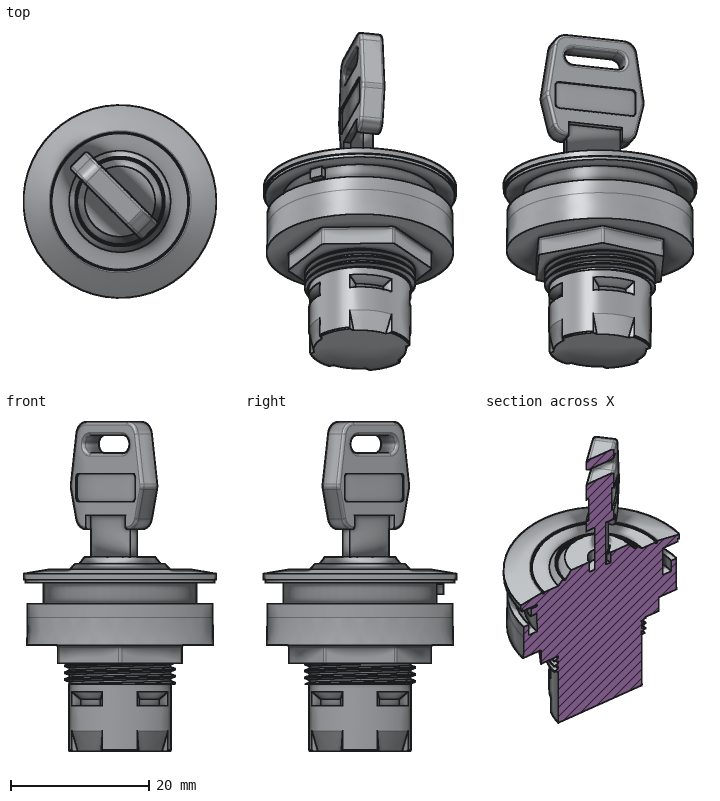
import cadquery as cq
import math


BODY_R = 14.75 / 2
BODY_CHAMFER_HEIGHT = 0.25
BODY_CHAMFER_WIDTH = 0.1
CROSS_HALF_WIDTH = 2.52
CROSS_ROOT_HALF_WIDTH = 2.8
WINDOW_BOTTOM_Z = 6.55
WINDOW_TOP_Z = 8.55
WINDOW_FLOOR_R = 12.65 / 2
NOTCH_TOP_Z = 2.95
NOTCH_BOTTOM_R = 6.65
CUT_CLEARANCE = 2.4

THREAD_R = 16.0 / 2
THREAD_CORE_R = 14.65 / 2
THREAD_PITCH = 1.0
THREAD_START_Z = 7.85
THREAD_BOTTOM_Z = 9.7
THREAD_ROOT_WIDTH = 0.75
THREAD_CREST_WIDTH = 0.15
THREAD_SINK = 0.15
THREAD_TURNS = 5

NUT_BOTTOM_Z = 12.7
NUT_ACROSS_FLATS = 18.0
NUT_CORNER_R = 0.5
NUT_FLARE_Z = 15.05
NUT_FLARE_ANGLE = 12.0

RING_BOTTOM_Z = 15.35
GASKET_BOTTOM_Z = 19.35
GASKET_TOP_Z = 21.35
RING_BOTTOM_R = 27.0 / 2
GASKET_R = 26.85 / 2
GASKET_INNER_R = 25.0 / 2

NECK_R = 22.2 / 2
TAB_BOTTOM_Z = 22.65
TAB_TOP_Z = 24.15
TAB_REACH = 12.1
TAB_WIDTH = 1.9

FLANGE_R = 27.9 / 2
FLANGE_LIP_R = 27.4 / 2
FLANGE_BOTTOM_Z = 24.35
FLANGE_LIP_Z = 24.8
FLANGE_EDGE_Z = 25.65
BEZEL_CONE_TOP_R = 20.55 / 2
BEZEL_INNER_R = 20.05 / 2
BEZEL_TOP_Z = 26.3
FACE_R = 19.65 / 2
FACE_Z = 26.2
FACE_GROOVE_DEPTH = 0.25
COLLAR_R = 14.65 / 2
COLLAR_TOP_R = 13.0 / 2
COLLAR_INNER_R = 12.65 / 2
COLLAR_TOP_Z = 27.1
DOME_R = 12.3 / 2
DOME_BASE_Z = 26.75
DOME_TOP_R = 10.2 / 2
DOME_TOP_Z = 28.1
KEYHOLE_R = 1.8
KEYHOLE_DEPTH = 1.9
KEY_SLOT_WIDTH = 1.9
KEY_SLOT_DEPTH = 0.55
KEY_SLOT_OVERRUN = 0.45

KEY_OFFSET = -1.2
BOW_THICKNESS = 3.5
BOW_BOTTOM_Z = 32.05
BOW_WIDEST_Z = 38.25
BOW_TOP_Z = 47.65
BOW_BOTTOM_HALF_WIDTH = 5.9
BOW_WIDEST_HALF_WIDTH = 7.45
BOW_TOP_HALF_WIDTH = 6.0
BOW_CORNER_R = 2.05
BOW_EDGE_R = 0.45
SLOT_LENGTH = 9.15
SLOT_HEIGHT = 2.52
SLOT_Z = 44.4
LABEL_WIDTH = 12.1
LABEL_HEIGHT = 4.05
LABEL_Z = 38.1
LABEL_CORNER_R = 0.55
LABEL_DEPTH = 0.3
BLADE_WIDTH = 8.1
BLADE_THICKNESS = 1.45
BLADE_TOP_Z = 34.1

HALF_DIAGONAL = math.sqrt(0.5)


def revolved(points):
    """Solid of revolution about Z from (radius, z) points."""
    return cq.Workplane("XZ").polyline(points).close().revolve(360, (0, 0, 0), (0, 1, 0))


def make_turned_body():
    """Lower body, clamping ring, neck, flange and lock face as one turned outline."""
    groove_z = FACE_Z - FACE_GROOVE_DEPTH
    return revolved([
        (0, 0),
        (BODY_R - BODY_CHAMFER_WIDTH, 0),
        (BODY_R, BODY_CHAMFER_HEIGHT),
        (BODY_R, THREAD_BOTTOM_Z),
        (THREAD_CORE_R, THREAD_BOTTOM_Z),
        (THREAD_CORE_R, RING_BOTTOM_Z),
        (RING_BOTTOM_R, RING_BOTTOM_Z),
        (GASKET_R, GASKET_BOTTOM_Z),
        (GASKET_R, GASKET_TOP_Z),
        (GASKET_INNER_R, GASKET_TOP_Z),
        (GASKET_INNER_R, GASKET_BOTTOM_Z),
        (NECK_R, GASKET_BOTTOM_Z),
        (NECK_R, FLANGE_BOTTOM_Z),
        (FLANGE_LIP_R, FLANGE_BOTTOM_Z),
        (FLANGE_LIP_R, FLANGE_LIP_Z),
        (FLANGE_R, FLANGE_LIP_Z),
        (FLANGE_R, FLANGE_EDGE_Z),
        (BEZEL_CONE_TOP_R, BEZEL_TOP_Z),
        (BEZEL_INNER_R, BEZEL_TOP_Z),
        (BEZEL_INNER_R, groove_z),
        (FACE_R, groove_z),
        (FACE_R, FACE_Z),
        (COLLAR_R, FACE_Z),
        (COLLAR_TOP_R, COLLAR_TOP_Z),
        (COLLAR_INNER_R, COLLAR_TOP_Z),
        (COLLAR_INNER_R, DOME_BASE_Z),
        (DOME_R, DOME_BASE_Z),
        (DOME_TOP_R, DOME_TOP_Z),
        (0, DOME_TOP_Z),
    ])


def make_quadrant_cuts():
    """Windows and bottom notches in the four quadrants beside the uncut cross."""
    outer_r = BODY_R + CUT_CLEARANCE
    window_depth = BODY_R - WINDOW_FLOOR_R
    slope_bottom_z = WINDOW_TOP_Z - window_depth
    window = revolved([
        (WINDOW_FLOOR_R, WINDOW_BOTTOM_Z),
        (outer_r, WINDOW_BOTTOM_Z),
        (outer_r, WINDOW_TOP_Z),
        (BODY_R, WINDOW_TOP_Z),
        (WINDOW_FLOOR_R, slope_bottom_z),
    ])
    notch = revolved([
        (NOTCH_BOTTOM_R, 0),
        (outer_r, 0),
        (outer_r, NOTCH_TOP_Z),
        (BODY_R, NOTCH_TOP_Z),
    ])
    surface_reach = math.sqrt(BODY_R**2 - CROSS_HALF_WIDTH**2)
    root_reach = math.sqrt(WINDOW_FLOOR_R**2 - CROSS_ROOT_HALF_WIDTH**2)
    quadrant = (
        cq.Workplane("XY")
        .polyline([
            (CROSS_HALF_WIDTH, outer_r),
            (CROSS_HALF_WIDTH, surface_reach),
            (CROSS_ROOT_HALF_WIDTH, root_reach),
            (root_reach, CROSS_ROOT_HALF_WIDTH),
            (surface_reach, CROSS_HALF_WIDTH),
            (outer_r, CROSS_HALF_WIDTH),
            (outer_r, outer_r),
        ])
        .close()
        .extrude(THREAD_BOTTOM_Z)
    )
    quadrants = quadrant
    for angle in (90, 180, 270):
        quadrants = quadrants.union(quadrant.rotate((0, 0, 0), (0, 0, 1), angle))
    return window.union(notch).intersect(quadrants)


def make_thread():
    """Right-handed helical ridge, trimmed flat below and ending inside the nut."""
    start_z = THREAD_START_Z
    height = THREAD_TURNS * THREAD_PITCH
    helix = cq.Wire.makeHelix(THREAD_PITCH, height, THREAD_CORE_R, cq.Vector(0, 0, start_z))
    ridge = (
        cq.Workplane("XZ")
        .polyline([
            (THREAD_CORE_R - THREAD_SINK, start_z - THREAD_ROOT_WIDTH / 2),
            (THREAD_R, start_z - THREAD_CREST_WIDTH / 2),
            (THREAD_R, start_z + THREAD_CREST_WIDTH / 2),
            (THREAD_CORE_R - THREAD_SINK, start_z + THREAD_ROOT_WIDTH / 2),
        ])
        .close()
        .sweep(cq.Workplane(helix), isFrenet=True)
    )
    trim_height = NUT_BOTTOM_Z - THREAD_BOTTOM_Z + THREAD_PITCH / 4
    trim = cq.Workplane("XY").workplane(offset=THREAD_BOTTOM_Z).circle(2 * THREAD_R).extrude(trim_height)
    return ridge.intersect(trim)


def make_nut():
    """Hexagonal nut, flats facing X, with rounded corners and a slight flare under the ring."""
    across_corners = NUT_ACROSS_FLATS / math.cos(math.pi / 6)
    nut = cq.Workplane("XY").polygon(6, across_corners).extrude(NUT_FLARE_Z - NUT_BOTTOM_Z)
    nut = nut.edges("|Z").fillet(NUT_CORNER_R)
    nut = nut.faces(">Z").wires().toPending().workplane().extrude(
        RING_BOTTOM_Z - NUT_FLARE_Z, taper=-NUT_FLARE_ANGLE
    )
    return nut.rotate((0, 0, 0), (0, 0, 1), 30).translate((0, 0, NUT_BOTTOM_Z))


def make_tab():
    """Locating tab on the +Y side of the neck."""
    return (
        cq.Workplane("XY")
        .box(TAB_WIDTH, TAB_REACH, TAB_TOP_Z - TAB_BOTTOM_Z, centered=(True, False, False))
        .translate((0, 0, TAB_BOTTOM_Z))
    )


def key_plane(offset):
    """Sketch plane of the key: local x along the key, local y up, offset toward (-X, -Y)."""
    center = cq.Vector(KEY_OFFSET * HALF_DIAGONAL, -KEY_OFFSET * HALF_DIAGONAL, 0)
    normal = cq.Vector(-HALF_DIAGONAL, -HALF_DIAGONAL, 0)
    return cq.Workplane(cq.Plane(center + normal * offset, xDir=(1, -1, 0), normal=normal))


def make_bow():
    """Key bow with rounded rims, key-ring slot, and label and blade recesses on both faces."""
    half_thickness = BOW_THICKNESS / 2
    bow = (
        key_plane(-half_thickness)
        .polyline([
            (-BOW_BOTTOM_HALF_WIDTH, BOW_BOTTOM_Z),
            (BOW_BOTTOM_HALF_WIDTH, BOW_BOTTOM_Z),
            (BOW_WIDEST_HALF_WIDTH, BOW_WIDEST_Z),
            (BOW_TOP_HALF_WIDTH, BOW_TOP_Z),
            (-BOW_TOP_HALF_WIDTH, BOW_TOP_Z),
            (-BOW_WIDEST_HALF_WIDTH, BOW_WIDEST_Z),
        ])
        .close()
        .extrude(BOW_THICKNESS)
    )
    bow = bow.edges(cq.selectors.ParallelDirSelector(cq.Vector(1, 1, 0))).fillet(BOW_CORNER_R)
    slot = (
        key_plane(-half_thickness)
        .center(0, SLOT_Z)
        .slot2D(SLOT_LENGTH, SLOT_HEIGHT)
        .extrude(BOW_THICKNESS)
    )
    bow = bow.cut(slot)
    bow = bow.faces(cq.selectors.ParallelDirSelector(cq.Vector(1, 1, 0))).edges().fillet(BOW_EDGE_R)

    blade_half_thickness = BLADE_THICKNESS / 2
    recess_depth = half_thickness - blade_half_thickness
    recess_height = BLADE_TOP_Z - BOW_BOTTOM_Z
    for label_start, recess_start in (
        (half_thickness - LABEL_DEPTH, blade_half_thickness),
        (-half_thickness, -half_thickness),
    ):
        label = (
            key_plane(label_start)
            .center(0, LABEL_Z)
            .sketch()
            .rect(LABEL_WIDTH, LABEL_HEIGHT)
            .vertices()
            .fillet(LABEL_CORNER_R)
            .finalize()
            .extrude(LABEL_DEPTH)
        )
        recess = (
            key_plane(recess_start)
            .center(0, BOW_BOTTOM_Z + recess_height / 2)
            .rect(BLADE_WIDTH, recess_height)
            .extrude(recess_depth)
        )
        bow = bow.cut(label).cut(recess)
    return bow


def make_blade():
    """Flat key blade from the bottom of the keyhole up into the bow."""
    bottom_z = DOME_TOP_Z - KEYHOLE_DEPTH
    height = BLADE_TOP_Z - bottom_z
    return (
        key_plane(-BLADE_THICKNESS / 2)
        .center(0, bottom_z + height / 2)
        .rect(BLADE_WIDTH, height)
        .extrude(BLADE_THICKNESS)
    )


def make_keyhole():
    """Round hole on the lock axis with a shallow slot along the blade."""
    hole = (
        cq.Workplane("XY")
        .workplane(offset=DOME_TOP_Z - KEYHOLE_DEPTH)
        .circle(KEYHOLE_R)
        .extrude(KEYHOLE_DEPTH)
    )
    slot = (
        key_plane(-KEY_SLOT_WIDTH / 2)
        .center(-KEY_SLOT_OVERRUN / 2, DOME_TOP_Z - KEY_SLOT_DEPTH / 2)
        .rect(BLADE_WIDTH + KEY_SLOT_OVERRUN, KEY_SLOT_DEPTH)
        .extrude(KEY_SLOT_WIDTH)
    )
    return hole.union(slot)


switch = make_turned_body().cut(make_quadrant_cuts()).cut(make_keyhole())
switch = switch.union(make_thread()).union(make_nut()).union(make_tab())
result = switch.union(make_blade()).union(make_bow())